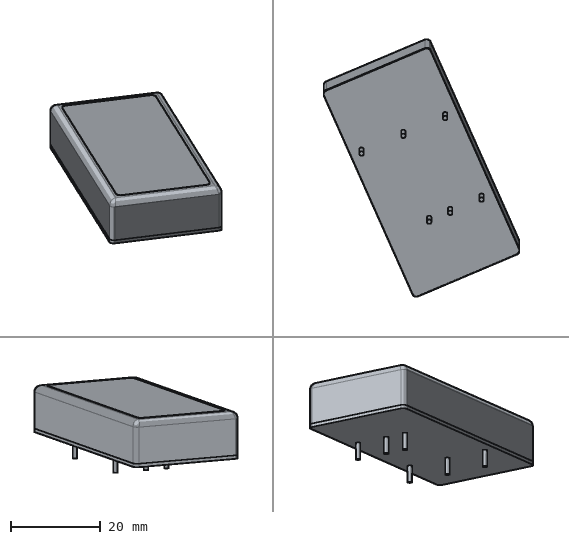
import cadquery as cq

length = 51.3
width = 25.9
total_height = 14.5

pin_length = 3.8
label_thickness = 0.1
body_height = total_height - pin_length - label_thickness
base_thickness = 0.8
corner_radius = 1.0
top_fillet = 1.5

label_length = 46.9
label_width = 21.65
label_corner_radius = 1.05

pin_diameter = 1.05
pin_pitch = 2.54
column_x = 4 * pin_pitch
outer_row_y = 4 * pin_pitch
inner_row_y = pin_pitch
pin_places = [
    (-column_x, outer_row_y),
    (-column_x, inner_row_y),
    (-column_x, -inner_row_y),
    (column_x, outer_row_y),
    (column_x, 0),
    (column_x, -outer_row_y),
]


def rounded_block(size_x, size_y, height, radius, bottom):
    """Block centred on the Z axis with rounded upright edges."""
    block = cq.Workplane("XY").workplane(offset=bottom).rect(size_x, size_y).extrude(height)
    return block.edges("|Z").fillet(radius)


def make_base():
    """Flat plate that closes the underside; its bottom face is at Z = 0."""
    return rounded_block(length, width, base_thickness, corner_radius, 0)


def make_label():
    """Thin plate that lies on the top of the case."""
    return rounded_block(label_length, label_width, label_thickness, label_corner_radius, body_height)


def make_case():
    """Solid case with a rounded top rim."""
    case_height = body_height - base_thickness
    case = rounded_block(length, width, case_height, corner_radius, base_thickness)
    return case.faces(">Z").edges().fillet(top_fillet)


def make_pin(x, y):
    """Round pin that hangs from the underside of the base."""
    return cq.Workplane("XY").center(x, y).circle(pin_diameter / 2).extrude(-pin_length)


base = make_base()
label = make_label()
case = make_case()
pins = [make_pin(x, y) for x, y in pin_places]

result = cq.Compound.makeCompound([base.val(), case.val(), label.val(), *[pin.val() for pin in pins]])